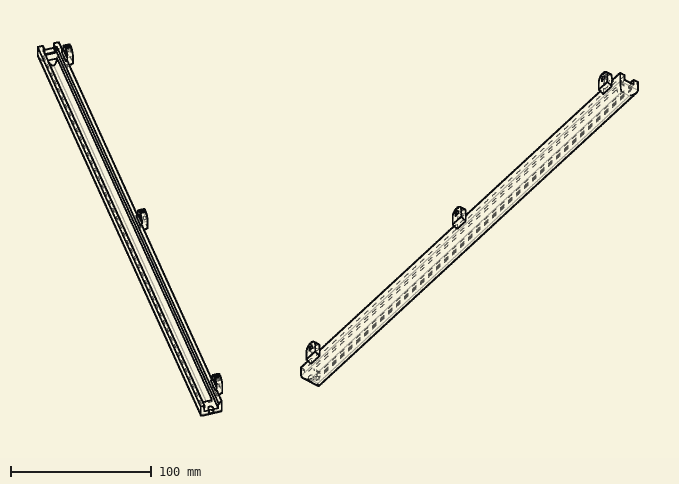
import cadquery as cq

overall_length = 378.0
tip_length = 0.8
length = overall_length - tip_length
width = 16.0
height = 12.5
bottom_radius = 4.5

channel_width = 10.2
channel_depth = 5.5
sill_length = 4.0
sill_depth = 4.5
sill_channel_width = 8.0
channel_floor = height - channel_depth

tip_size = 0.8

trough_start = 10.0
trough_end = 368.0
trough_width = 6.8
trough_radius = 3.35

notch_length = 3.5
notch_width = 3.5
notch_depth = 3.5

lug_count = 3
first_lug_x = 14.7
lug_spacing = 172.7
lug_width = 10.2
lug_thickness = 4.0
lug_top = 21.0
lug_bottom = 6.8
lug_bottom_rise = 2.0
lug_radius = lug_width / 2
lug_eye_z = lug_top - lug_radius
eye_width = 3.5
eye_bottom = 14.7
gusset_depth = 1.0
slit_width = 1.5
slit_depth = 0.5
back_y = width / 2


def rail_body():
    block = cq.Workplane("XY").box(length, width, height, centered=(False, True, False))
    return block.faces("<Z").edges().fillet(bottom_radius)


def channel_cut(start, end, cut_width, depth):
    return (
        cq.Workplane("XY")
        .box(end - start, cut_width, depth, centered=(False, True, False))
        .translate((start, 0, height - depth))
    )


def trough_cut():
    return (
        cq.Workplane("XY")
        .box(trough_end - trough_start, trough_width, trough_width, centered=(False, True, True))
        .faces("<Z").edges().fillet(trough_radius)
        .translate((trough_start, 0, channel_floor))
    )


def wall_tip(side):
    return (
        cq.Workplane("XY")
        .box(2 * tip_length, tip_size, tip_size)
        .translate((length, side * (channel_width + tip_size) / 2, height - tip_size / 2))
    )


def notch_cut():
    radius = notch_width / 2
    straight_start = length - notch_length + radius
    return (
        cq.Workplane("XY", origin=(0, 0, channel_floor - notch_depth))
        .moveTo(length, -radius)
        .lineTo(straight_start, -radius)
        .threePointArc((length - notch_length, 0), (straight_start, radius))
        .lineTo(length, radius)
        .close()
        .extrude(notch_depth)
    )


def arched_plate(plate_width, bottom, arch_z, front, back):
    radius = plate_width / 2
    return (
        cq.Workplane("XZ", origin=(0, back, 0))
        .moveTo(-radius, bottom)
        .lineTo(radius, bottom)
        .lineTo(radius, arch_z)
        .threePointArc((0, arch_z + radius), (-radius, arch_z))
        .close()
        .extrude(back - front)
    )


def across_lug(points):
    """Extrude a Y-Z outline over the full width of a lug."""
    return cq.Workplane("YZ").polyline(points).close().extrude(lug_radius, both=True)


def lug():
    outer_y = back_y + lug_thickness
    plate = arched_plate(lug_width, lug_bottom, lug_eye_z, back_y, outer_y)
    eye = arched_plate(eye_width, eye_bottom, lug_eye_z, back_y, outer_y)
    slit = (
        cq.Workplane("XY")
        .box(slit_width, lug_thickness, 2 * slit_depth)
        .translate((0, back_y + lug_thickness / 2, lug_top))
    )
    underside = across_lug([
        (back_y, lug_bottom),
        (outer_y, lug_bottom),
        (outer_y, lug_bottom + lug_bottom_rise),
    ])
    gusset = across_lug([
        (back_y, height),
        (back_y - gusset_depth, height),
        (back_y, eye_bottom),
    ])
    return plate.cut(eye).cut(slit).cut(underside).union(gusset)


result = rail_body()
result = result.cut(channel_cut(0, sill_length, sill_channel_width, sill_depth))
result = result.cut(channel_cut(sill_length, length, channel_width, channel_depth))
result = result.cut(trough_cut())
result = result.cut(notch_cut())
for side in (-1, 1):
    result = result.union(wall_tip(side))
for index in range(lug_count):
    result = result.union(lug().translate((first_lug_x + index * lug_spacing, 0, 0)))